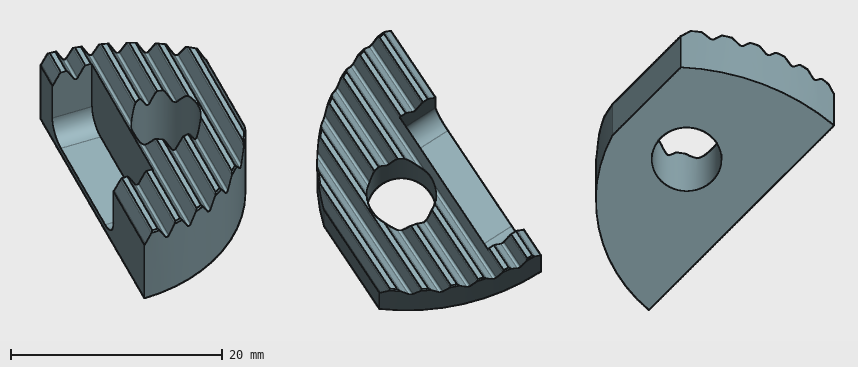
import cadquery as cq
import math

length = 26.0
width = 14.8
height = 8.6
left_radius = 23.25
right_radius = 15.42

tooth_count = 6
tooth_pitch = 2.5
crest_width = 0.55
groove_root_radius = 0.2
flank_angle = math.radians(28)
crest_chamfer = 0.15

hole_diameter = 6.6
hole_x = 12.0
hole_y = 7.93

pocket_left = 3.0
pocket_width = 15.25
pocket_reach = 4.05
pocket_floor = 0.78
pocket_corner_radius = 2.1


def side_offset(radius, y):
    """How far a side arc has moved inwards at distance y from the front."""
    return radius - math.sqrt(radius**2 - y**2)


def make_block():
    """Plain block with the top edges of both curved sides chamfered."""
    mid = width / 2
    outline = (
        cq.Workplane("XY")
        .moveTo(0, 0)
        .lineTo(length, 0)
        .threePointArc(
            (length - side_offset(right_radius, mid), mid),
            (length - side_offset(right_radius, width), width),
        )
        .lineTo(side_offset(left_radius, width), width)
        .threePointArc((side_offset(left_radius, mid), mid), (0, 0))
        .close()
    )
    block = outline.extrude(height)
    return block.faces(">Z").edges("%CIRCLE").chamfer(crest_chamfer)


def make_groove(y):
    """Cutter for one V groove with a round root and chamfered lips."""
    mouth_half = (tooth_pitch - crest_width) / 2
    lip_half = mouth_half - crest_chamfer
    lip_z = height - crest_chamfer
    tangent_half = groove_root_radius * math.cos(flank_angle)
    tangent_z = lip_z - (lip_half - tangent_half) / math.tan(flank_angle)
    root_z = tangent_z - groove_root_radius * (1 - math.sin(flank_angle))
    return (
        cq.Workplane("YZ")
        .moveTo(y - mouth_half, height)
        .lineTo(y - lip_half, lip_z)
        .lineTo(y - tangent_half, tangent_z)
        .threePointArc((y, root_z), (y + tangent_half, tangent_z))
        .lineTo(y + lip_half, lip_z)
        .lineTo(y + mouth_half, height)
        .close()
        .extrude(length)
    )


def make_pocket():
    """Cutter for the front pocket, rounded along its two lower edges."""
    return (
        cq.Workplane("XY")
        .box(pocket_width, pocket_reach, height, centered=False)
        .edges("|Y and <Z")
        .fillet(pocket_corner_radius)
        .translate((pocket_left, 0, pocket_floor))
    )


def make_hole():
    """Cutter for the vertical through hole."""
    return cq.Workplane("XY").center(hole_x, hole_y).circle(hole_diameter / 2).extrude(height)


result = make_block()

first_groove_y = (width - tooth_count * tooth_pitch) / 2
for index in range(tooth_count + 1):
    result = result.cut(make_groove(first_groove_y + index * tooth_pitch))

result = result.cut(make_hole())
result = result.cut(make_pocket())